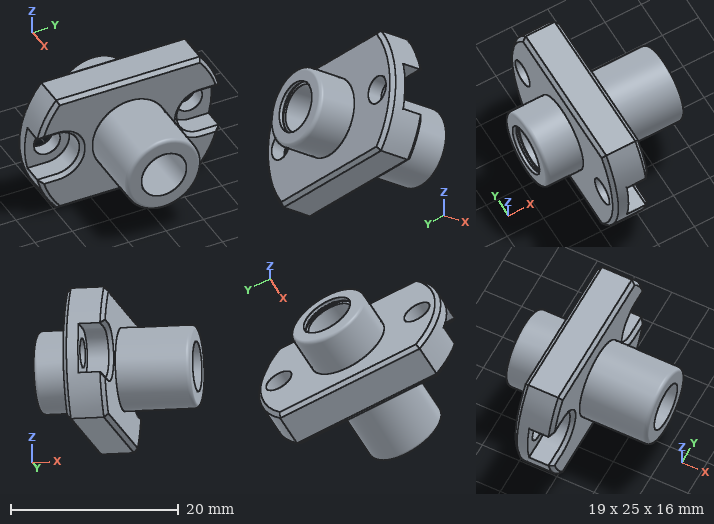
import cadquery as cq

length = 19.0
sleeve_diameter = 10.0
bore_diameter = 6.0
mouth_diameter = 6.4
mouth_depth = 0.5
groove_diameter = 6.8
groove_width = 0.3
end_rounding = 0.5

flange_start = 5.0
flange_thickness = 5.0
flange_diameter = 25.0
flange_height = 16.0
edge_chamfer = 0.5

hole_diameter = 3.5
hole_offset = 9.5
recess_width = 6.0
recess_depth = 3.1

flange_end = flange_start + flange_thickness


def cylinder_x(start, depth, diameter, y=0):
    """Cylinder along +X, centred at height zero."""
    return cq.Workplane("YZ", origin=(start, y, 0)).circle(diameter / 2).extrude(depth)


def slot_x(start, side):
    """Slot outline around a hole, with its outer round end clear of the rim."""
    outer_center = flange_diameter / 2 + recess_width
    slot_length = outer_center - hole_offset + recess_width
    slot_middle = side * (hole_offset + outer_center) / 2
    return cq.Workplane("YZ", origin=(start, slot_middle, 0)).slot2D(slot_length, recess_width)


def make_recess(side):
    """Recess with its round end at the hole, flared at 45 degrees at its mouth."""
    recess = slot_x(flange_end - recess_depth, side).extrude(recess_depth)
    flare = slot_x(flange_end - edge_chamfer, side).extrude(edge_chamfer, taper=-45)
    return recess.union(flare)


def make_flange():
    disc = cylinder_x(flange_start, flange_thickness, flange_diameter)
    band = cq.Workplane("YZ", origin=(flange_start, 0, 0)).rect(flange_diameter, flange_height)
    flange = disc.intersect(band.extrude(flange_thickness))
    flange = flange.faces("<X or >X").edges().chamfer(edge_chamfer)
    for side in (-1, 1):
        hole = cylinder_x(flange_start, flange_thickness, hole_diameter, side * hole_offset)
        flange = flange.cut(make_recess(side)).cut(hole)
    return flange


def make_sleeve():
    return cylinder_x(0, length, sleeve_diameter).faces("<X or >X").edges().fillet(end_rounding)


def make_bore():
    """Through bore with a wider mouth at the short end and a ring groove behind it."""
    bore = cylinder_x(0, length, bore_diameter)
    mouth = cylinder_x(0, mouth_depth, mouth_diameter)
    groove = cylinder_x(mouth_depth, groove_width, groove_diameter)
    return bore.union(mouth).union(groove)


result = make_flange().union(make_sleeve()).cut(make_bore())